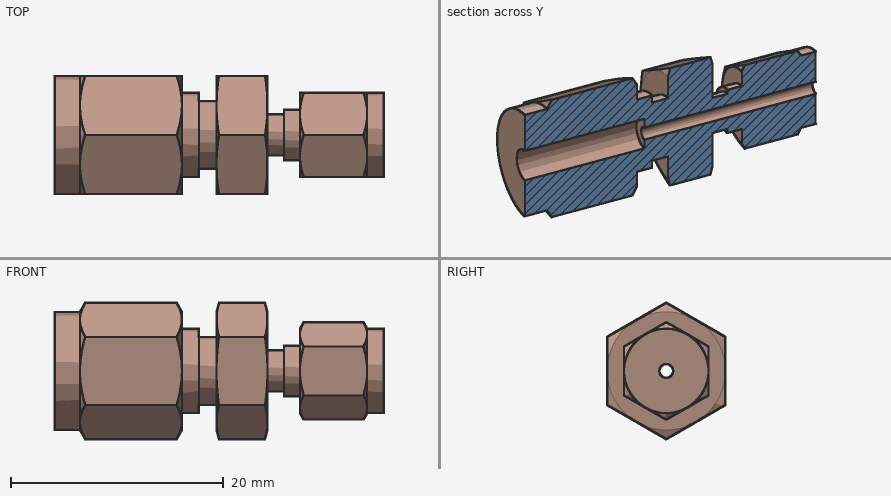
import cadquery as cq
import math

INCH = 25.4

LARGE_END = 0.0
LARGE_NUT_START = 2.37
LARGE_NUT_END = 11.95
LARGE_COLLAR_END = 13.53
BODY_HEX_START = 15.2
BODY_HEX_END = 19.98
SMALL_NECK_END = 21.53
SMALL_NUT_START = 23.03
SMALL_NUT_END = 29.35
SMALL_END = 30.91

HEX_SIDES = 6
LARGE_FLATS = 7 / 16 * INCH
SMALL_FLATS = 5 / 16 * INCH

LARGE_COLLAR_DIAMETER = 5 / 16 * INCH
LARGE_NECK_DIAMETER = 6.4
SMALL_NECK_DIAMETER = 3.9
SMALL_COLLAR_DIAMETER = 3 / 16 * INCH

TUBE_DIAMETER = 1 / 8 * INCH
TUBE_SOCKET_DEPTH = 12.7
BORE_DIAMETER = 1.27

NUT_CHAMFER_ANGLE = 30.0
BODY_CHAMFER_ANGLE = 15.0


def cylinder(start, end, diameter):
    """Round section along X between two positions."""
    return cq.Workplane("YZ", origin=(start, 0, 0)).circle(diameter / 2).extrude(end - start)


def chamfered_hexagon(start, end, flats, chamfer_angle):
    """Hexagon along X, corners up and down, both ends turned to a cone that touches the flats."""
    flat_radius = flats / 2
    corner_radius = flat_radius / math.cos(math.pi / HEX_SIDES)
    chamfer_depth = (corner_radius - flat_radius) * math.tan(math.radians(chamfer_angle))
    prism = (
        cq.Workplane("YZ", origin=(start, 0, 0))
        .polygon(HEX_SIDES, 2 * corner_radius)
        .extrude(end - start)
        .rotate((0, 0, 0), (1, 0, 0), 90)
    )
    turned_blank = (
        cq.Workplane("XY")
        .moveTo(start, 0)
        .lineTo(start, flat_radius)
        .lineTo(start + chamfer_depth, corner_radius)
        .lineTo(end - chamfer_depth, corner_radius)
        .lineTo(end, flat_radius)
        .lineTo(end, 0)
        .close()
        .revolve(360, (0, 0, 0), (1, 0, 0))
    )
    return prism.intersect(turned_blank)


def build_fitting():
    """Reducing union: large nut, body with wrench hexagon, small nut, and the bore through all."""
    sections = [
        cylinder(LARGE_END, LARGE_NUT_START, LARGE_FLATS),
        chamfered_hexagon(LARGE_NUT_START, LARGE_NUT_END, LARGE_FLATS, NUT_CHAMFER_ANGLE),
        cylinder(LARGE_NUT_END, LARGE_COLLAR_END, LARGE_COLLAR_DIAMETER),
        cylinder(LARGE_COLLAR_END, BODY_HEX_START, LARGE_NECK_DIAMETER),
        chamfered_hexagon(BODY_HEX_START, BODY_HEX_END, LARGE_FLATS, BODY_CHAMFER_ANGLE),
        cylinder(BODY_HEX_END, SMALL_NECK_END, SMALL_NECK_DIAMETER),
        cylinder(SMALL_NECK_END, SMALL_NUT_START, SMALL_COLLAR_DIAMETER),
        chamfered_hexagon(SMALL_NUT_START, SMALL_NUT_END, SMALL_FLATS, NUT_CHAMFER_ANGLE),
        cylinder(SMALL_NUT_END, SMALL_END, SMALL_FLATS),
    ]
    fitting = sections[0]
    for section in sections[1:]:
        fitting = fitting.union(section)
    tube_socket = cylinder(LARGE_END, LARGE_END + TUBE_SOCKET_DEPTH, TUBE_DIAMETER)
    bore = cylinder(LARGE_END, SMALL_END, BORE_DIAMETER)
    return fitting.cut(tube_socket).cut(bore)


result = build_fitting()